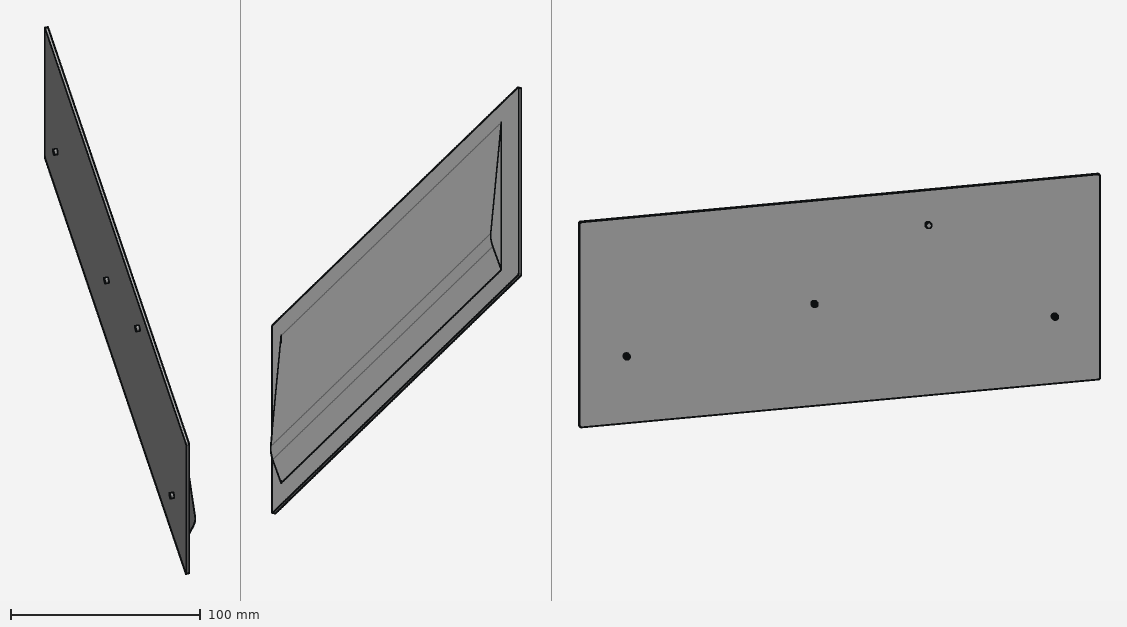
import cadquery as cq

plate_length = 285.5
plate_height = 114.0
plate_thickness = 1.7
corner_radius = 1.0

boss_length = 254.5
boss_left_x = -122.7
boss_top_z = 45.7
boss_bottom_z = -44.0
ridge_height = 6.5
ridge_z = -27.0
ridge_radius = 17.0

pin_diameter = 3.0
pin_bore_diameter = 2.0
pin_length = 2.0
tube_pin_centers = [(-117.3, -19.5), (117.5, -19.5), (-14.3, 0.0)]
solid_pin_center = (48.2, 38.0)


def front_plane(y):
    """XZ work plane at the given Y, with its normal pointing to -Y."""
    return cq.Workplane("XZ", origin=(0, y, 0))


def make_plate():
    plate = front_plane(plate_thickness).rect(plate_length, plate_height).extrude(plate_thickness)
    return plate.edges("|Y").fillet(corner_radius)


def make_boss():
    """Prism with a long upper slope and a short lower slope meeting in a rounded ridge."""
    back_y = plate_thickness
    ridge_y = back_y + ridge_height
    boss = (
        cq.Workplane("YZ", origin=(boss_left_x, 0, 0))
        .moveTo(back_y, boss_top_z)
        .lineTo(ridge_y, ridge_z)
        .lineTo(back_y, boss_bottom_z)
        .close()
        .extrude(boss_length)
    )
    return boss.edges(">Y").fillet(ridge_radius)


def make_pins():
    """Pins standing on the front face; the tubes are bored down to that face."""
    face = front_plane(0)
    pins = face.pushPoints(tube_pin_centers + [solid_pin_center]).circle(pin_diameter / 2).extrude(pin_length)
    bores = face.pushPoints(tube_pin_centers).circle(pin_bore_diameter / 2).extrude(pin_length)
    return pins.cut(bores)


result = make_plate().union(make_boss()).union(make_pins())